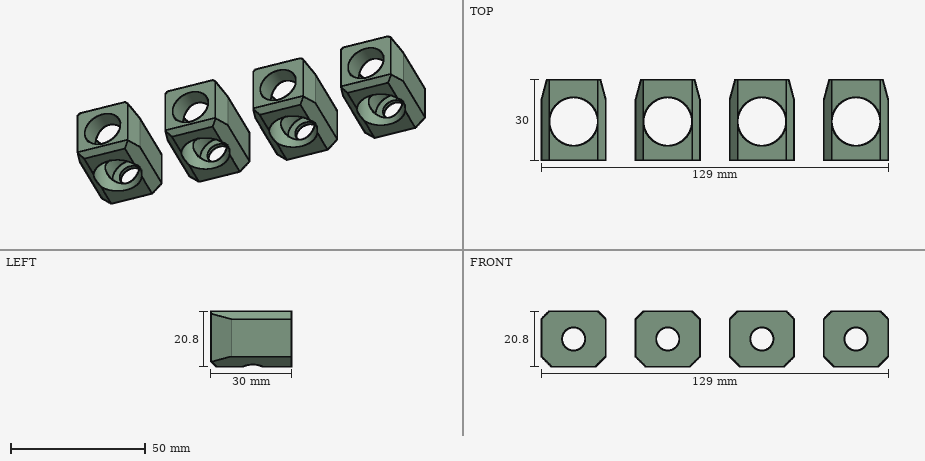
import cadquery as cq
import math

row_length = 129.0
block_count = 4

width = 24.0
depth = 30.0
height = 20.8
pitch = (row_length - width) / (block_count - 1)

top_chamfer = 3.0
bottom_chamfer = 3.9
rear_bottom_chamfer = 2.0
taper_length = 7.5
taper_angle = 15.0
taper_inset = taper_length * math.tan(math.radians(taper_angle))

bore_diameter = 17.9
bore_y = 14.5
screw_hole_diameter = 8.5
rear_hole_diameter = 14.2
front_web = 1.5


def chamfered_bar():
    """Bar along Y with four chamfered long edges, standing on Z = 0."""
    bar = cq.Workplane("XY").box(width, depth, height, centered=(True, False, False))
    bar = bar.edges("|Y and >Z").chamfer(top_chamfer)
    return bar.edges("|Y and <Z").chamfer(bottom_chamfer)


def tapered_plan():
    """Prism whose rear end narrows on both sides."""
    half_width = width / 2
    rear_half_width = half_width - taper_inset
    return (
        cq.Workplane("XY")
        .moveTo(-half_width, 0)
        .lineTo(half_width, 0)
        .lineTo(half_width, depth - taper_length)
        .lineTo(rear_half_width, depth)
        .lineTo(-rear_half_width, depth)
        .lineTo(-half_width, depth - taper_length)
        .close()
        .extrude(height)
    )


def axial_hole(diameter, start_y, end_y):
    """Cylinder along Y at mid-height, spanning start_y to end_y."""
    return (
        cq.Workplane("XZ", origin=(0, start_y, height / 2))
        .circle(diameter / 2)
        .extrude(start_y - end_y)
    )


def make_block():
    block = chamfered_bar().intersect(tapered_plan())
    block = block.edges(">Y and <Z").chamfer(rear_bottom_chamfer)

    bore = cq.Workplane("XY").center(0, bore_y).circle(bore_diameter / 2).extrude(height)

    screw_hole = axial_hole(screw_hole_diameter, 0, bore_y)
    rear_hole = axial_hole(rear_hole_diameter, front_web, depth)
    return block.cut(bore).cut(screw_hole).cut(rear_hole)


first_x = (width - row_length) / 2
blocks = []
for index in range(block_count):
    block = make_block().translate((first_x + index * pitch, 0, 0))
    blocks.append(block.val())

result = cq.Compound.makeCompound(blocks)